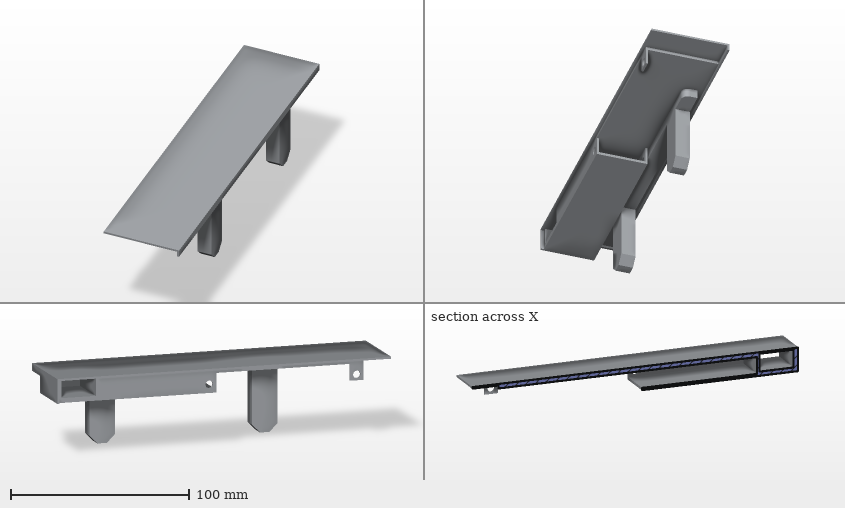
import cadquery as cq

length = 197.0
width = 46.0
cover_thickness = 1.2
skirt_depth = 4.3

step_inset = 1.8
liner_bottom = 3.0
liner_front = 181.2
tab_length = 7.9
tab_bottom = 12.6

box_right = 31.7
box_front = 94.5
box_depth = 14.2
floor_thickness = 1.5
box_wall = 1.2
back_wall_front = 3.0

pocket_front = 23.2
pocket_bottom = 11.5
partition_thickness = 1.8

hole_diameter = 4.3
hole_level = 9.3
box_hole_setback = 4.3

rail_left = 32.9
rail_width = 8.5
rail_corner_radius = 4.1
rail_back = 16.2
rail_front = 154.3
rail_bottom = 8.3
peg_centers = (37.2, 133.2)
peg_width = 15.0
peg_bottom = 45.7
peg_chamfer = 4.7


def block(left, right, back, front, top, bottom):
    """Box between X limits, distances from the back and depths below the top."""
    return cq.Workplane("XY").box(
        right - left, front - back, bottom - top, centered=False
    ).translate((left, -front, -bottom))


def cross_hole(distance):
    """Round hole along X through every wall of the box."""
    return (
        cq.Workplane("YZ")
        .center(-distance, -hole_level)
        .circle(hole_diameter / 2)
        .extrude(box_right)
    )


def peg(center):
    """Flat peg hanging from the rail, with both lower corners chamfered."""
    return block(
        rail_left, rail_left + rail_width,
        center - peg_width / 2, center + peg_width / 2,
        liner_bottom, peg_bottom,
    ).faces("<Z").edges("|X").chamfer(peg_chamfer)


cover = block(0, width, 0, length, 0, cover_thickness)
cover = cover.union(block(width - cover_thickness, width, 0, length, 0, skirt_depth))
cover = cover.union(block(0, width, 0, cover_thickness, 0, skirt_depth))
cover = cover.union(block(0, box_right, 0, cover_thickness, 0, box_depth))

liner = block(
    step_inset, width - cover_thickness, cover_thickness, liner_front,
    cover_thickness, liner_bottom,
)

box = block(step_inset, box_right, cover_thickness, box_front, cover_thickness, box_depth)
box_cavity = block(
    step_inset + box_wall, box_right - box_wall, pocket_front + partition_thickness, box_front,
    liner_bottom, box_depth - floor_thickness,
)
tab = block(
    step_inset, step_inset + box_wall, liner_front - tab_length, liner_front,
    cover_thickness, tab_bottom,
)
side_pocket = block(
    step_inset, box_right - box_wall, back_wall_front, pocket_front,
    cover_thickness, pocket_bottom,
)

rail = block(
    rail_left, rail_left + rail_width, rail_back, rail_front, liner_bottom, rail_bottom
).faces("<X").edges("|Z").fillet(rail_corner_radius)

result = cover.union(liner).union(box.cut(box_cavity)).union(tab).cut(side_pocket)
for hole_distance in (box_front - box_hole_setback, liner_front - tab_length / 2):
    result = result.cut(cross_hole(hole_distance))
result = result.union(rail)
for peg_center in peg_centers:
    result = result.union(peg(peg_center))